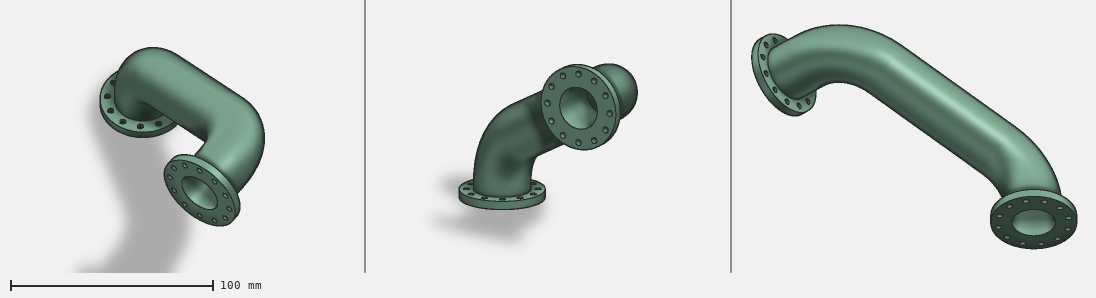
import cadquery as cq

flange_diameter = 42.6
flange_thickness = 4.3
bolt_circle_diameter = 35.5
bolt_hole_diameter = 3.0
bolt_count = 12

pipe_diameter = 28.5
bore_diameter = 21.5
bend_radius = 35.3

lower_face = cq.Vector(0, 0, 0)
upper_face = cq.Vector(92.3, -85.1, 82.4)
lower_axis = cq.Vector(0, 0, 1)
upper_axis = cq.Vector(0, 1, 0)

lower_corner_distance = 29.4
upper_corner_distance = 43.4
lower_corner = lower_face + lower_axis * lower_corner_distance
upper_corner = upper_face + upper_axis * upper_corner_distance


def bend_points(before, corner, after):
    """Start, middle and end of the arc that rounds a centreline corner."""
    backward = (before - corner).normalized()
    forward = (after - corner).normalized()
    bisector = (backward + forward).normalized()
    cos_half = bisector.dot(forward)
    sin_half = bisector.cross(forward).Length
    setback = bend_radius * cos_half / sin_half
    middle_offset = bend_radius / sin_half - bend_radius
    return (
        corner + backward * setback,
        corner + bisector * middle_offset,
        corner + forward * setback,
    )


def make_centreline():
    """Three straight runs joined by two tangent bends."""
    lower_bend = bend_points(lower_face, lower_corner, upper_corner)
    upper_bend = bend_points(lower_corner, upper_corner, upper_face)
    return cq.Wire.assembleEdges([
        cq.Edge.makeLine(lower_face, lower_bend[0]),
        cq.Edge.makeThreePointArc(*lower_bend),
        cq.Edge.makeLine(lower_bend[2], upper_bend[0]),
        cq.Edge.makeThreePointArc(*upper_bend),
        cq.Edge.makeLine(upper_bend[2], upper_face),
    ])


def sweep_round(diameter, centreline):
    """Solid round bar along the pipe centreline."""
    return cq.Workplane("XY").circle(diameter / 2).sweep(cq.Workplane(centreline))


def make_flange(face_centre, axis):
    """Drilled disc that grows from its outer face along the axis."""
    plane = cq.Plane(origin=face_centre.toTuple(), xDir=(1, 0, 0), normal=axis.toTuple())
    disc = cq.Workplane(plane).circle(flange_diameter / 2).extrude(flange_thickness)
    holes = (
        cq.Workplane(plane)
        .polarArray(bolt_circle_diameter / 2, 0, 360, bolt_count)
        .circle(bolt_hole_diameter / 2)
        .extrude(flange_thickness)
    )
    return disc.cut(holes)


centreline = make_centreline()
result = (
    sweep_round(pipe_diameter, centreline)
    .union(make_flange(lower_face, lower_axis))
    .union(make_flange(upper_face, upper_axis))
    .cut(sweep_round(bore_diameter, centreline))
)